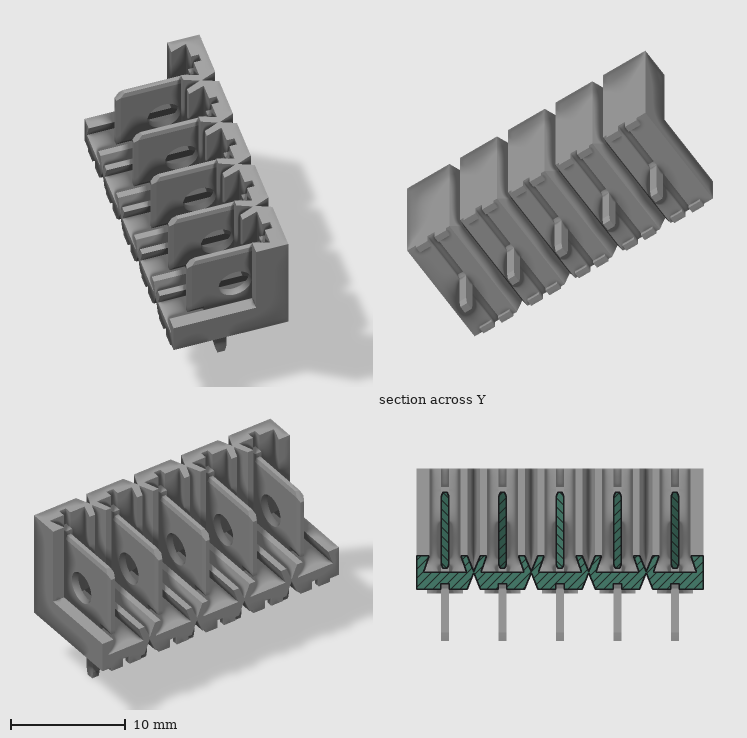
import cadquery as cq

CELLS = 5
PITCH = 5.0
DEPTH = 10.5
HEIGHT = 10.5
LENGTH = CELLS * PITCH
LEG = 2.95
FLOOR = 1.5
BACKING = 1.45

MOUTH_WIDTH = 2.7
CHANNEL_WIDTH = 3.7

GROOVE_WIDTH = 1.12
OUTER_APEX = 1.4
INNER_APEX = 1.6

FOOT_WIDTH = 3.12
FOOT_DEPTH = 0.6
FOOT_HEIGHT = 0.38
UNDERCUT = 0.45

THICKNESS = 0.7
ROOT_BOTTOM = 0.75
ROOT_FRONT = 3.5
ROOT_BACK = 9.68
ROOT_TOP = 8.9
SLOT_BACK = 9.75
BLADE_BACK = 8.75
BLADE_BOTTOM = 1.8
BLADE_TOP = 8.45
BLADE_FRONT = 2.0
CORNER_CUT = 0.75
BEVEL_RUN = 0.38
BEVEL_DROP = 0.15
HOLE_DIAMETER = 3.0
HOLE_Y = 6.32
HOLE_Z = 4.28

PIN_WIDTH = 1.0
PIN_Y = 5.05
PIN_LENGTH = 4.5
TIP_LENGTH = 0.72
TIP_WIDTH = 0.7
FLARE_BOTTOM = 0.08
FLARE_WIDTH = 1.88

WALL_FRONT = DEPTH - LEG
CHANNEL_BACK = DEPTH - BACKING

cell_centers = [(i - (CELLS - 1) / 2) * PITCH for i in range(CELLS)]
seam_centers = [x + PITCH / 2 for x in cell_centers[:-1]]


def prism_along_y(points, y_start, y_end):
    """Extrude an X-Z outline from y_start to y_end."""
    return cq.Workplane("XZ", origin=(0, y_start, 0)).polyline(points).close().extrude(y_start - y_end)


def prism_along_z(points, z_start, z_end):
    """Extrude an X-Y outline from z_start to z_end."""
    return cq.Workplane("XY", origin=(0, 0, z_start)).polyline(points).close().extrude(z_end - z_start)


def prism_along_x(points, x_center, width):
    """Extrude a Y-Z outline, centred on x_center."""
    return cq.Workplane("YZ", origin=(x_center - width / 2, 0, 0)).polyline(points).close().extrude(width)


def from_rear(points):
    """Turn an outline of the base into the matching outline of the back wall."""
    return [(x, DEPTH - height) for x, height in points]


def channel_outline(x, remainder):
    """Dovetail that leaves remainder of the leg below it."""
    return [
        (x - CHANNEL_WIDTH / 2, remainder),
        (x + CHANNEL_WIDTH / 2, remainder),
        (x + MOUTH_WIDTH / 2, LEG),
        (x - MOUTH_WIDTH / 2, LEG),
    ]


def channel(x):
    """Dovetail channel running along the base and up the back wall."""
    base_run = prism_along_y(channel_outline(x, FLOOR), 0, CHANNEL_BACK)
    wall_run = prism_along_z(from_rear(channel_outline(x, BACKING)), FLOOR, HEIGHT)
    return base_run.union(wall_run)


def seam_grooves(x):
    """V grooves that nearly part two cells, inside and outside the L."""
    half = GROOVE_WIDTH / 2
    inner = [
        (x - half, HEIGHT),
        (x - half, LEG),
        (x, INNER_APEX),
        (x + half, LEG),
        (x + half, HEIGHT),
    ]
    outer = [(x - half, 0), (x, OUTER_APEX), (x + half, 0)]
    inner_groove = prism_along_y(inner, 0, DEPTH).intersect(prism_along_z(from_rear(inner), 0, HEIGHT))
    bottom_groove = prism_along_y(outer, 0, DEPTH)
    rear_groove = prism_along_z(from_rear(outer), 0, HEIGHT)
    return inner_groove.union(bottom_groove).union(rear_groove)


def foot(x, y_start):
    """Standoff bar under a cell, starting at y_start."""
    bar = cq.Workplane("XY").box(FOOT_WIDTH, FOOT_DEPTH, FOOT_HEIGHT, centered=(True, False, False))
    return bar.translate((x, y_start, -FOOT_HEIGHT))


def underside_groove(x):
    """Groove in line with the pin, through both feet and along the whole underside."""
    groove = cq.Workplane("XY").box(THICKNESS, DEPTH, FOOT_HEIGHT + UNDERCUT, centered=(True, False, False))
    return groove.translate((x, 0, -FOOT_HEIGHT))


def terminal_root(x):
    """Part of the terminal at full thickness that is seated in the base and the back wall."""
    root_middle = BLADE_BOTTOM + BEVEL_RUN
    side = [
        (ROOT_FRONT, ROOT_BOTTOM),
        (ROOT_BACK, ROOT_BOTTOM),
        (ROOT_BACK, ROOT_TOP),
        (BLADE_BACK, ROOT_TOP),
        (BLADE_BACK, root_middle),
        (ROOT_FRONT, root_middle),
    ]
    return prism_along_x(side, x, THICKNESS)


def terminal_pin(x):
    """Solder pin that widens towards the root and tapers at its tip."""
    shank = PIN_WIDTH / 2
    tip = TIP_WIDTH / 2
    flare = FLARE_WIDTH / 2
    tip_start = TIP_LENGTH - PIN_LENGTH
    side = [
        (PIN_Y - flare, ROOT_BOTTOM),
        (PIN_Y - shank, FLARE_BOTTOM),
        (PIN_Y - shank, tip_start),
        (PIN_Y - tip, -PIN_LENGTH),
        (PIN_Y + tip, -PIN_LENGTH),
        (PIN_Y + shank, tip_start),
        (PIN_Y + shank, FLARE_BOTTOM),
        (PIN_Y + flare, ROOT_BOTTOM),
    ]
    return prism_along_x(side, x, THICKNESS)


def terminal_blade(x):
    """Blade with bevelled top, front and bottom edges and a cut upper corner."""
    half = THICKNESS / 2
    flat = half - BEVEL_DROP
    top_bevel_z = BLADE_TOP - BEVEL_RUN
    front_bevel_y = BLADE_FRONT + BEVEL_RUN
    bottom_bevel_z = BLADE_BOTTOM + BEVEL_RUN
    cross_section = [
        (x - flat, BLADE_BOTTOM),
        (x - half, bottom_bevel_z),
        (x - half, top_bevel_z),
        (x - flat, BLADE_TOP),
        (x + flat, BLADE_TOP),
        (x + half, top_bevel_z),
        (x + half, bottom_bevel_z),
        (x + flat, BLADE_BOTTOM),
    ]
    plan_section = [
        (x - half, BLADE_BACK),
        (x - half, front_bevel_y),
        (x - flat, BLADE_FRONT),
        (x + flat, BLADE_FRONT),
        (x + half, front_bevel_y),
        (x + half, BLADE_BACK),
    ]
    corner = [
        (BLADE_FRONT, BLADE_TOP),
        (BLADE_FRONT + CORNER_CUT, BLADE_TOP),
        (BLADE_FRONT, BLADE_TOP - CORNER_CUT),
    ]
    blade = prism_along_y(cross_section, BLADE_FRONT, BLADE_BACK)
    blade = blade.intersect(prism_along_z(plan_section, BLADE_BOTTOM, BLADE_TOP))
    return blade.cut(prism_along_x(corner, x, THICKNESS))


def make_terminal(x):
    hole = (
        cq.Workplane("YZ", origin=(x - THICKNESS / 2, HOLE_Y, HOLE_Z))
        .circle(HOLE_DIAMETER / 2)
        .extrude(THICKNESS)
    )
    return terminal_root(x).union(terminal_blade(x)).union(terminal_pin(x)).cut(hole)


def wall_slot(x):
    """Slot in the back wall for the root, open at the top."""
    side = [
        (WALL_FRONT, ROOT_BOTTOM),
        (SLOT_BACK, ROOT_BOTTOM),
        (SLOT_BACK, HEIGHT),
        (WALL_FRONT, HEIGHT),
    ]
    return prism_along_x(side, x, THICKNESS)


def make_housing(terminals):
    """Insulating L-shaped housing, fitted around the terminals."""
    side = [
        (0, 0),
        (DEPTH, 0),
        (DEPTH, HEIGHT),
        (WALL_FRONT, HEIGHT),
        (WALL_FRONT, LEG),
        (0, LEG),
    ]
    body = prism_along_x(side, 0, LENGTH)
    for x in seam_centers:
        body = body.cut(seam_grooves(x))
    for x in cell_centers:
        body = body.union(foot(x, 0)).union(foot(x, DEPTH - FOOT_DEPTH))
        body = body.cut(channel(x)).cut(wall_slot(x)).cut(underside_groove(x))
    for terminal in terminals:
        body = body.cut(terminal)
    return body


terminals = [make_terminal(x) for x in cell_centers]
housing = make_housing(terminals)

result = cq.Compound.makeCompound([housing.val(), *[terminal.val() for terminal in terminals]])